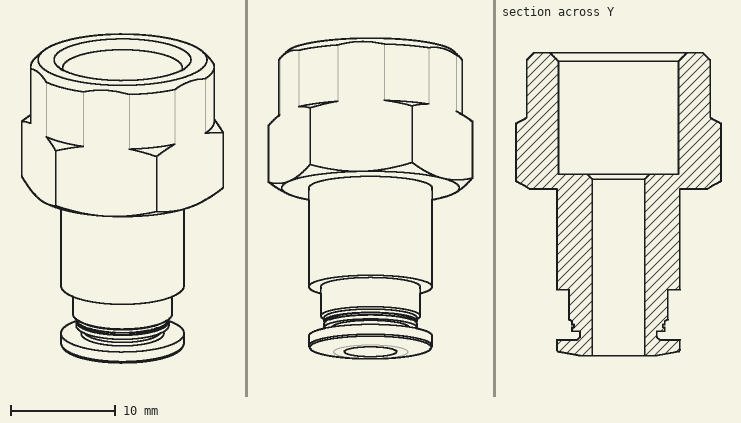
import cadquery as cq
import math

height = 29.0
hex_flats = 17.0
hex_corners = hex_flats / math.cos(math.radians(30))
hex_bottom = 15.95

crown_diameter = 17.57
crown_chamfer = 0.7
shoulder_height = 22.82
hex_chamfer_slope = math.tan(math.radians(30))

sleeve_diameter = 11.8
sleeve_bottom = 6.32
collar_diameter = 9.5
collar_bottom = 3.48
collar_taper_height = 0.17
ring_diameter = 8.9
ring_groove_diameter = 8.53
ring_groove_top = 3.0
ring_groove_bottom = 2.75
ring_bottom = 2.35
neck_diameter = 7.4
neck_flare_diameter = 7.95
neck_flare_height = 0.25

flange_top = 1.55
flange_edge_bottom = 0.58
flange_rim_height = 0.4
flange_rim_inset = 0.1
flange_base_diameter = 7.1

socket_diameter = 11.45
socket_mouth_diameter = 13.1
socket_floor = 17.4
tube_hole_diameter = 5.0
tube_mouth_diameter = 6.0


def revolve_profile(points):
    """Turn a closed (radius, height) outline about the Z axis."""
    return cq.Workplane("XZ").polyline(points).close().revolve(360, (0, 0, 0), (0, 1, 0))


def make_nut():
    """Hexagon trimmed by a turned outline: crown, shoulder cone and lower chamfer."""
    flat_radius = hex_flats / 2
    corner_radius = hex_corners / 2
    crown_radius = crown_diameter / 2
    lower_drop = (corner_radius - flat_radius) * hex_chamfer_slope
    upper_drop = (corner_radius - crown_radius) * hex_chamfer_slope
    prism = (
        cq.Workplane("XY")
        .workplane(offset=hex_bottom)
        .polygon(6, hex_corners)
        .extrude(height - hex_bottom)
    )
    envelope = revolve_profile([
        (0, hex_bottom),
        (flat_radius, hex_bottom),
        (corner_radius, hex_bottom + lower_drop),
        (corner_radius, shoulder_height - upper_drop),
        (crown_radius, shoulder_height),
        (crown_radius, height - crown_chamfer),
        (crown_radius - crown_chamfer, height),
        (0, height),
    ])
    return prism.intersect(envelope)


def make_stem():
    """Sleeve, collar, ring pair, neck and release flange as one turned body."""
    sleeve_radius = sleeve_diameter / 2
    collar_radius = collar_diameter / 2
    ring_radius = ring_diameter / 2
    groove_radius = ring_groove_diameter / 2
    neck_radius = neck_diameter / 2
    return revolve_profile([
        (0, 0),
        (flange_base_diameter / 2, 0),
        (sleeve_radius - flange_rim_inset, flange_rim_height),
        (sleeve_radius, flange_edge_bottom),
        (sleeve_radius, flange_top),
        (neck_flare_diameter / 2, flange_top),
        (neck_radius, flange_top + neck_flare_height),
        (neck_radius, ring_bottom),
        (ring_radius, ring_bottom),
        (ring_radius, ring_groove_bottom),
        (groove_radius, ring_groove_bottom),
        (groove_radius, ring_groove_top),
        (ring_radius, ring_groove_top),
        (ring_radius, collar_bottom - collar_taper_height),
        (collar_radius, collar_bottom),
        (collar_radius, sleeve_bottom),
        (sleeve_radius, sleeve_bottom),
        (sleeve_radius, hex_bottom),
        (0, hex_bottom),
    ])


def make_bore():
    """Through hole and upper socket, each with a 45 degree entry chamfer."""
    socket_radius = socket_diameter / 2
    mouth_radius = socket_mouth_diameter / 2
    tube_radius = tube_hole_diameter / 2
    tube_mouth_radius = tube_mouth_diameter / 2
    return revolve_profile([
        (0, 0),
        (tube_radius, 0),
        (tube_radius, socket_floor - (tube_mouth_radius - tube_radius)),
        (tube_mouth_radius, socket_floor),
        (socket_radius, socket_floor),
        (socket_radius, height - (mouth_radius - socket_radius)),
        (mouth_radius, height),
        (0, height),
    ])


result = make_nut().union(make_stem()).cut(make_bore())